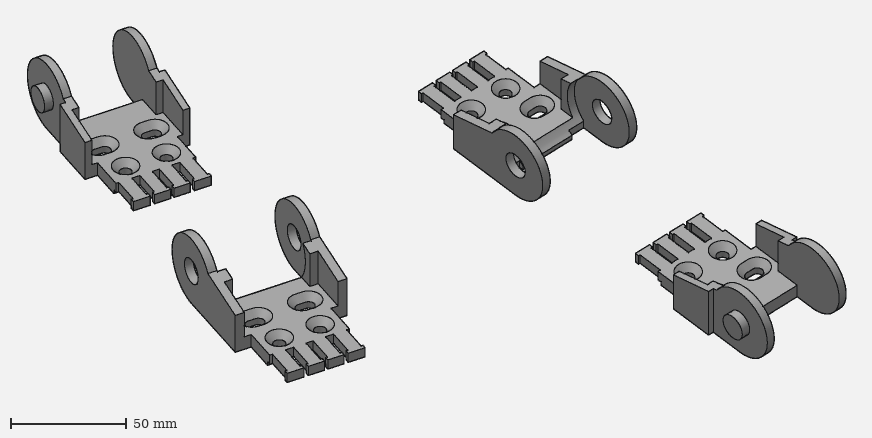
import cadquery as cq
import math


link_length = 89.5
total_length = 229.2
eye_diameter = 35.0
eye_radius = eye_diameter / 2
cheek_end_x = 57.5
cheek_end_height = 20.2
neck_height = 26.4
inner_half_gap = 19.0
pad_end_x = 39.5

plate_thickness = 6.9
tail_half_width = 19.7

comb_start_x = 74.3
comb_half_width = 18.3
side_slot_offset = 9.9
side_slot_width = 4.0
middle_slot_width = 3.5
finger_lift = 1.8
lift_start_x = 72.5
barb_length = 2.0
barb_height = 1.0

screw_diameter = 5.7
sink_diameter = 12.4
sink_depth = (sink_diameter - screw_diameter) / 2
oblong_x = 47.5
oblong_offset = 12.4
oblong_travel = 3.5
round_x = 65.3
round_offset = 10.0

pin_outer_half_width = 23.1
pin_pad_half_width = 26.0
pin_pad_start_x = 34.8
pin_pocket_half_width = 22.5
pin_plate_start_x = 27.0
pin_diameter = 12.4
pin_tip_half_width = 27.5

eye_outer_width = 55.2
eye_outer_half_width = eye_outer_width / 2
eye_inner_half_width = 23.1
eye_hole_diameter = 12.4
clearance_radius = 17.9
eye_plate_start_x = 29.3
lip_start_x = 27.3
lip_half_width = 14.5

pivot_x = eye_radius
pivot_z = eye_radius
neck_x = pivot_x + math.sqrt(eye_radius**2 - (neck_height - pivot_z) ** 2)
link_pitch = total_length - link_length


def box(x_min, x_max, y_min, y_max, z_min, z_max):
    size = (x_max - x_min, y_max - y_min, z_max - z_min)
    return cq.Workplane("XY").box(*size, centered=False).translate((x_min, y_min, z_min))


def centred_box(x_min, x_max, half_width, z_min, z_max):
    return box(x_min, x_max, -half_width, half_width, z_min, z_max)


def pivot_cylinder(radius, half_width):
    """Cylinder along the pivot axis, centred on the middle plane."""
    return (
        cq.Workplane("XZ")
        .center(pivot_x, pivot_z)
        .circle(radius)
        .extrude(half_width, both=True)
    )


def cheek_profile(half_width):
    """Side outline of a cheek, extruded over the whole width of the link."""
    return (
        cq.Workplane("XZ")
        .moveTo(pivot_x, 0)
        .lineTo(cheek_end_x, 0)
        .lineTo(cheek_end_x, cheek_end_height)
        .lineTo(neck_x, neck_height)
        .threePointArc((0, pivot_z), (pivot_x, 0))
        .close()
        .extrude(half_width, both=True)
    )


def cheek_gap(x_min, x_max, half_width):
    """Space between the two cheeks over a stretch of the link."""
    return centred_box(x_min, x_max, half_width, 0, eye_diameter)


def finger_comb():
    """Four fingers with a barb on each side of every tip."""
    half_side_slot = side_slot_width / 2
    inner_finger = (middle_slot_width / 2, side_slot_offset - half_side_slot)
    outer_finger = (side_slot_offset + half_side_slot, comb_half_width)
    comb = cq.Workplane("XY")
    for near, far in (inner_finger, outer_finger):
        finger = box(comb_start_x, link_length, near, far, finger_lift, plate_thickness)
        barbs = box(
            link_length - barb_length,
            link_length,
            near - barb_height,
            far + barb_height,
            finger_lift,
            plate_thickness,
        )
        half = finger.union(barbs)
        comb = comb.union(half).union(half.mirror("XZ"))
    return comb


def tail():
    """Plate between the cheek ends and the fingers, stepped up underneath."""
    plate = centred_box(pad_end_x, comb_start_x, tail_half_width, 0, plate_thickness)
    return plate.cut(centred_box(lift_start_x, comb_start_x, tail_half_width, 0, finger_lift))


def countersunk_tool(travel):
    """Screw hole with a conical countersink, stretched along Y by the travel."""
    screw_radius = screw_diameter / 2
    end = (
        cq.Workplane("XZ")
        .polyline(
            [
                (0, 0),
                (screw_radius, 0),
                (screw_radius, plate_thickness - sink_depth),
                (sink_diameter / 2, plate_thickness),
                (0, plate_thickness),
            ]
        )
        .close()
        .revolve(360, (0, 0, 0), (0, 1, 0))
    )
    if travel == 0:
        return end
    middle = (
        cq.Workplane("XZ")
        .polyline(
            [
                (-screw_radius, 0),
                (screw_radius, 0),
                (screw_radius, plate_thickness - sink_depth),
                (sink_diameter / 2, plate_thickness),
                (-sink_diameter / 2, plate_thickness),
                (-screw_radius, plate_thickness - sink_depth),
            ]
        )
        .close()
        .extrude(travel / 2, both=True)
    )
    for end_y in (-travel / 2, travel / 2):
        middle = middle.union(end.translate((0, end_y, 0)))
    return middle


def cut_screw_holes(link):
    """Countersunk holes: two oblong ones between the cheeks, two round ones in the tail."""
    through = cq.Workplane("XY")
    for side in (-1, 1):
        for x, offset, travel in (
            (oblong_x, oblong_offset, oblong_travel),
            (round_x, round_offset, 0),
        ):
            through = through.union(countersunk_tool(travel).translate((x, side * offset, 0)))
    return link.cut(through)


def pin_link():
    """Link whose eyes carry outward pins; its cheeks step outward behind the eyes."""
    cheeks = cheek_profile(pin_outer_half_width)
    pads = cheek_profile(pin_pad_half_width).intersect(
        cheek_gap(pin_pad_start_x, cheek_end_x, pin_pad_half_width)
    )
    pins = pivot_cylinder(pin_diameter / 2, pin_tip_half_width)
    plate = centred_box(pin_plate_start_x, cheek_end_x, pin_pocket_half_width, 0, plate_thickness)
    link = (
        cheeks.union(pads)
        .union(pins)
        .cut(cheek_gap(0, pad_end_x, inner_half_gap))
        .cut(cheek_gap(pad_end_x, cheek_end_x, pin_pocket_half_width))
        .union(plate)
        .union(tail())
        .union(finger_comb())
    )
    return cut_screw_holes(link)


def eye_link():
    """Link with bored eyes and a hollow between them for a pin link's eyes."""
    cheeks = cheek_profile(eye_outer_half_width)
    plate = centred_box(eye_plate_start_x, cheek_end_x, eye_inner_half_width, 0, plate_thickness)
    lip = centred_box(lip_start_x, eye_plate_start_x, lip_half_width, 0, plate_thickness)
    link = (
        cheeks.cut(cheek_gap(0, pad_end_x, inner_half_gap))
        .cut(cheek_gap(0, eye_plate_start_x, eye_inner_half_width))
        .cut(cheek_gap(pad_end_x, cheek_end_x, eye_inner_half_width))
        .union(plate)
        .union(lip)
        .cut(pivot_cylinder(clearance_radius, eye_inner_half_width))
        .cut(pivot_cylinder(eye_hole_diameter / 2, eye_outer_half_width))
        .union(tail())
        .union(finger_comb())
    )
    return cut_screw_holes(link)


pin_body = pin_link()
eye_body = eye_link().translate((link_pitch, 0, 0))

result = cq.Compound.makeCompound([pin_body.val(), eye_body.val()])